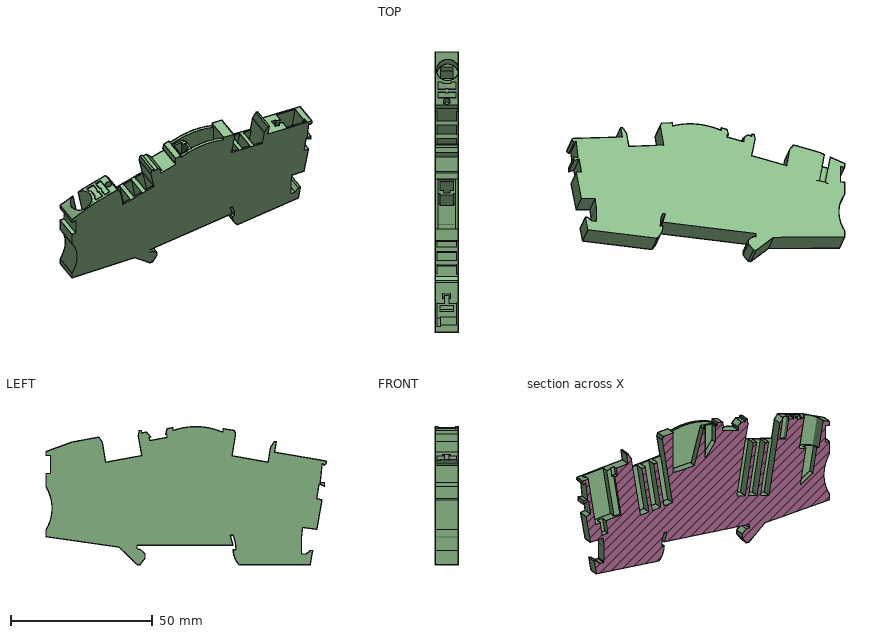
import cadquery as cq
import math

WIDTH = 8.15
LENGTH = 99.17
HEIGHT = 48.92
MID_X = WIDTH / 2

RAIL_Z = 6.9
LEAN = 9.3
OVERCUT = 0.3

DOME_Y = 46.2
DOME_RADIUS = 24.1
DOME_BACK_Y = 54.25
DOME_FRONT_Y = 36.6

HEAD_TOP = ((80.48, 45.21), (90.0, 43.45))
HEAD_BROW = ((90.0, 43.45), (LENGTH, 40.1))
HEAD_STEP = ((65.35, 38.68), (78.05, 36.35))
TAIL_STEP = ((20.7, 36.35), (33.35, 38.62))
TAIL_TOP = ((0.15, 36.77), (18.32, 39.88))

HEAD_WALL_HEIGHT = 7.0
DOME_WALL_HEIGHT = 7.6
FIN_WALL_HEIGHT = 5.2

SLOT_LENGTH = 3.2
SLOT_WALL = 0.6
HEAD_SLOT_DEPTH = 20.0
TAIL_SLOT_DEPTH = 17.4
SLOTS_PER_STEP = 3

FUNNEL_X = 4.4
FUNNEL_Y = 92.8
FUNNEL_RADIUS = 3.9
FUNNEL_DEPTH = 11.0
CLAMP_X = (1.9, 6.25)
CLAMP_Y = (91.6, 95.6)
CLAMP_DEPTH = 25.0
CLAMP_END_DEPTH = 20.0

PANEL_X = (1.0, 7.3)
PANEL_DEPTH = 0.5
PANELS_Y = ((83.0, 85.0), (86.0, 88.6))
PANEL_BOSS_Y = 85.5
PANEL_BOSS_RADIUS = 0.85
COLLAR_HALF_WIDTH = 1.85
COLLAR_REACH = 0.6
TEST_HOLE_Y = 81.7
TEST_HOLE_RADIUS = 1.1
TEST_HOLE_DEPTH = 8.0

DOME_WALL = 1.05
WINDOW_BACK_Y = 53.95
SOCKET_BLOCK_Y = 49.1
SOCKET_SHELF_Z = 47.3
WINDOW_FLOOR_Z = 34.0
WINDOW_FLOOR_Y = 44.9
WINDOW_FLOOR_END_Y = 38.1
WINDOW_FLOOR_END_Z = 33.0
SOCKET_X = (1.75, 6.4)
SOCKET_FACE_OFFSET = 0.5
SOCKET_Y = (50.15, 53.3)
SOCKET_KEY_X = (2.95, 5.3)
SOCKET_KEY_Y = 49.3
SOCKET_DEPTH = 6.0
SOCKET_FLOOR_SLOPE = 54.0

POCKET_Y = (2.6, 10.3)
POCKET_DEPTH = 18.3
POCKET_CORNER_X = 1.85
POCKET_CORNER_Y = 2.1
KEY_STEM_X = (3.3, 4.85)
KEY_STEM_END_Y = 12.6
KEY_HEAD_X = (2.6, 5.35)
KEY_HEAD_Y = (12.0, 13.65)
KEY_HEAD_DEPTH = 3.0
POCKET_SLOT_X = (1.75, 6.5)
POCKET_SLOT_Y = (7.4, 9.5)
POCKET_SLOT_DEPTH = 5.0


def dome_z(y):
    """Height of the dome above a given Y."""
    return HEIGHT - DOME_RADIUS + math.sqrt(DOME_RADIUS**2 - (y - DOME_Y) ** 2)


def face_z(face, y):
    """Height of a sloping top face, extended if needed, at a given Y."""
    (y0, z0), (y1, z1) = face
    return z0 + (z1 - z0) * (y - y0) / (y1 - y0)


def above(point, height, lean):
    """Point higher up a leaning wall; a positive lean drifts towards +Y going up."""
    y, z = point
    return y + height * math.tan(math.radians(lean)), z + height


def prism(points, x_range):
    """Extrude a YZ polygon between two X positions."""
    x0, x1 = x_range
    return cq.Workplane("YZ", origin=(x0, 0, 0)).polyline(points).close().extrude(x1 - x0)


def leaning_cutter(face, y_range, x_range, depth, lean, end_depth=None):
    """Cutter whose mouth lies on a top face; a positive lean drifts towards +Y going down.

    The floor is parallel to the face unless the end of y_range gets its own depth.
    """
    down_y = math.sin(math.radians(lean))
    down_z = -math.cos(math.radians(lean))
    y0, y1 = y_range
    mouth = [(y0, face_z(face, y0)), (y1, face_z(face, y1))]
    top = [(y - OVERCUT * down_y, z - OVERCUT * down_z) for y, z in mouth]
    depths = (depth, depth if end_depth is None else end_depth)
    floor = [(y + d * down_y, z + d * down_z) for (y, z), d in zip(mouth, depths)]
    return prism(top + floor[::-1], x_range)


def leaning_cylinder(face, x, y, radius, depth, lean, overcut=OVERCUT):
    """Round cutter sunk into a top face along the leaning direction."""
    down = cq.Vector(0, math.sin(math.radians(lean)), -math.cos(math.radians(lean)))
    start = cq.Vector(x, y, face_z(face, y)) - down * overcut
    return cq.Workplane(obj=cq.Solid.makeCylinder(radius, depth + overcut, start, down))


def make_body():
    profile = (
        cq.Workplane("YZ")
        .moveTo(*HEAD_BROW[1])
        .lineTo(*HEAD_TOP[1])
        .lineTo(*HEAD_TOP[0])
        .lineTo(*above(HEAD_STEP[1], HEAD_WALL_HEIGHT, LEAN))
        .lineTo(*HEAD_STEP[1])
        .lineTo(*HEAD_STEP[0])
        .lineTo(66.6, 45.6)
        .lineTo(66.23, 47.54)
        .lineTo(65.35, 47.54)
        .lineTo(65.35, 46.71)
        .lineTo(63.7, 47.0)
        .lineTo(62.04, 45.2)
        .lineTo(62.63, 45.2)
        .lineTo(62.5, 44.01)
        .lineTo(56.4, 45.1)
        .lineTo(56.4, 46.1)
        .lineTo(56.9, 46.1)
        .lineTo(56.4, 48.2)
        .lineTo(DOME_BACK_Y, 48.6)
        .lineTo(DOME_BACK_Y, dome_z(DOME_BACK_Y))
        .threePointArc((DOME_Y, HEIGHT), (DOME_FRONT_Y, dome_z(DOME_FRONT_Y)))
        .lineTo(DOME_FRONT_Y, 48.2)
        .lineTo(32.46, 47.54)
        .lineTo(*above(TAIL_STEP[1], DOME_WALL_HEIGHT, -LEAN))
        .lineTo(*TAIL_STEP[1])
        .lineTo(*TAIL_STEP[0])
        .lineTo(*above(TAIL_STEP[0], FIN_WALL_HEIGHT, -LEAN))
        .lineTo(18.4, 43.71)
        .lineTo(17.7, 43.71)
        .lineTo(*TAIL_TOP[1])
        .lineTo(*TAIL_TOP[0])
        .lineTo(0, 36.0)
        .lineTo(0.75, 35.2)
        .lineTo(1.5, 35.75)
        .lineTo(2.2, 29.1)
        .lineTo(0.65, 29.2)
        .lineTo(0.65, 27.7)
        .lineTo(2.6, 28.6)
        .lineTo(3.4, 23.45)
        .lineTo(1.55, 23.0)
        .lineTo(3.4, 12.55)
        .lineTo(8.4, 13.2)
        .lineTo(8.8, 9.9)
        .lineTo(8.8, 4.2)
        .lineTo(8.6, 3.9)
        .lineTo(7.25, 3.9)
        .lineTo(5.7, 5.15)
        .lineTo(4.85, 5.15)
        .lineTo(5.75, 0)
        .lineTo(30.9, 0)
        .threePointArc((32.35, 2.2), (33.05, 5.4))
        .lineTo(32.05, 5.4)
        .threePointArc((32.3, 8.0), (33.0, 10.42))
        .lineTo(33.95, 10.42)
        .lineTo(33.0, RAIL_Z)
        .lineTo(66.95, RAIL_Z)
        .lineTo(66.9, 5.7)
        .lineTo(65.8, 5.5)
        .lineTo(64.1, 3.9)
        .lineTo(64.1, 2.4)
        .lineTo(65.95, 0)
        .lineTo(66.9, 0)
        .lineTo(73.3, 6.25)
        .lineTo(LENGTH, 9.95)
        .lineTo(LENGTH, 12.4)
        .threePointArc((97.05, 20.0), (LENGTH, 27.6))
        .lineTo(LENGTH, 32.4)
        .lineTo(97.6, 32.4)
        .lineTo(97.6, 38.6)
        .lineTo(LENGTH, 38.6)
        .close()
    )
    return profile.extrude(WIDTH)


def cut_marker_slots(body):
    slot_x = (SLOT_WALL, WIDTH - SLOT_WALL)
    for step, depth, lean in (
        (HEAD_STEP, HEAD_SLOT_DEPTH, -LEAN),
        (TAIL_STEP, TAIL_SLOT_DEPTH, LEAN),
    ):
        step_start = step[0][0]
        step_end = step[1][0]
        pitch = (step_end - step_start - SLOT_LENGTH) / (SLOTS_PER_STEP - 1)
        for i in range(SLOTS_PER_STEP):
            slot_start = step_start + i * pitch
            slot_y = (slot_start, slot_start + SLOT_LENGTH)
            body = body.cut(leaning_cutter(step, slot_y, slot_x, depth, lean))
    return body


def cut_wire_funnel(body):
    clamp = leaning_cutter(HEAD_BROW, CLAMP_Y, CLAMP_X, CLAMP_DEPTH, -LEAN, CLAMP_END_DEPTH)
    funnel = leaning_cylinder(
        HEAD_BROW, FUNNEL_X, FUNNEL_Y, FUNNEL_RADIUS, FUNNEL_DEPTH, -LEAN, overcut=FUNNEL_RADIUS
    )
    return body.cut(clamp).cut(funnel)


def cut_label_panels(body):
    panels = [leaning_cutter(HEAD_TOP, y, PANEL_X, PANEL_DEPTH, -LEAN) for y in PANELS_Y]
    boss = leaning_cylinder(HEAD_TOP, MID_X, PANEL_BOSS_Y, PANEL_BOSS_RADIUS, PANEL_DEPTH, -LEAN)
    panel_end = PANELS_Y[1][1]
    collar = (
        cq.Workplane("XY")
        .polyline([
            (MID_X - COLLAR_HALF_WIDTH, panel_end),
            (MID_X + COLLAR_HALF_WIDTH, panel_end),
            (MID_X + COLLAR_HALF_WIDTH - COLLAR_REACH, panel_end - COLLAR_REACH),
            (MID_X - COLLAR_HALF_WIDTH + COLLAR_REACH, panel_end - COLLAR_REACH),
        ])
        .close()
        .extrude(HEIGHT)
    )
    for panel in panels:
        body = body.cut(panel.cut(boss).cut(collar))
    hole = leaning_cylinder(HEAD_TOP, MID_X, TEST_HOLE_Y, TEST_HOLE_RADIUS, TEST_HOLE_DEPTH, -LEAN)
    return body.cut(hole)


def cut_dome_window(body):
    """Open the dome between its side walls, leaving the socket block standing at the back."""
    window_x = (DOME_WALL, WIDTH - DOME_WALL)
    front_y = DOME_FRONT_Y
    block_y = SOCKET_BLOCK_Y
    deep = [
        (front_y, HEIGHT),
        (front_y, WINDOW_FLOOR_END_Z),
        (WINDOW_FLOOR_END_Y, WINDOW_FLOOR_END_Z),
        (WINDOW_FLOOR_Y + SOCKET_FACE_OFFSET, WINDOW_FLOOR_Z),
        (block_y, SOCKET_SHELF_Z),
        (block_y, HEIGHT),
    ]
    shelf = [
        (block_y, HEIGHT),
        (block_y, SOCKET_SHELF_Z),
        (WINDOW_BACK_Y, SOCKET_SHELF_Z),
        (WINDOW_BACK_Y, HEIGHT),
    ]
    proud_face = [
        (block_y, SOCKET_SHELF_Z),
        (block_y - SOCKET_FACE_OFFSET, SOCKET_SHELF_Z),
        (WINDOW_FLOOR_Y, WINDOW_FLOOR_Z),
        (WINDOW_FLOOR_Y + SOCKET_FACE_OFFSET, WINDOW_FLOOR_Z),
    ]
    body = body.cut(prism(deep, window_x).cut(prism(proud_face, SOCKET_X)))
    body = body.cut(prism(shelf, window_x))
    socket_end = SOCKET_Y[1]
    back_floor_z = SOCKET_SHELF_Z - SOCKET_DEPTH
    floor_fall = math.tan(math.radians(SOCKET_FLOOR_SLOPE))
    for x_range, y_start in ((SOCKET_X, SOCKET_Y[0]), (SOCKET_KEY_X, SOCKET_KEY_Y)):
        opening = [
            (y_start, HEIGHT),
            (socket_end, HEIGHT),
            (socket_end, back_floor_z),
            (y_start, back_floor_z - (socket_end - y_start) * floor_fall),
        ]
        body = body.cut(prism(opening, x_range))
    return body


def cut_tail_pocket(body):
    pocket_x = (SLOT_WALL, WIDTH - SLOT_WALL)
    pocket_end = POCKET_Y[1]
    corner_x = (SLOT_WALL, POCKET_CORNER_X)
    corner_y = (POCKET_CORNER_Y, pocket_end)
    stem_y = (pocket_end, KEY_STEM_END_Y)
    slot_depth = POCKET_DEPTH + POCKET_SLOT_DEPTH
    drift = POCKET_DEPTH * math.sin(math.radians(LEAN))
    slot_y = (POCKET_SLOT_Y[0] - drift, POCKET_SLOT_Y[1] - drift)
    cutters = [
        (POCKET_Y, pocket_x, POCKET_DEPTH),
        (corner_y, corner_x, POCKET_DEPTH),
        (stem_y, KEY_STEM_X, POCKET_DEPTH),
        (KEY_HEAD_Y, KEY_HEAD_X, KEY_HEAD_DEPTH),
        (slot_y, POCKET_SLOT_X, slot_depth),
    ]
    for y_range, x_range, depth in cutters:
        body = body.cut(leaning_cutter(TAIL_TOP, y_range, x_range, depth, LEAN))
    return body


result = make_body()
result = cut_marker_slots(result)
result = cut_wire_funnel(result)
result = cut_label_panels(result)
result = cut_dome_window(result)
result = cut_tail_pocket(result)